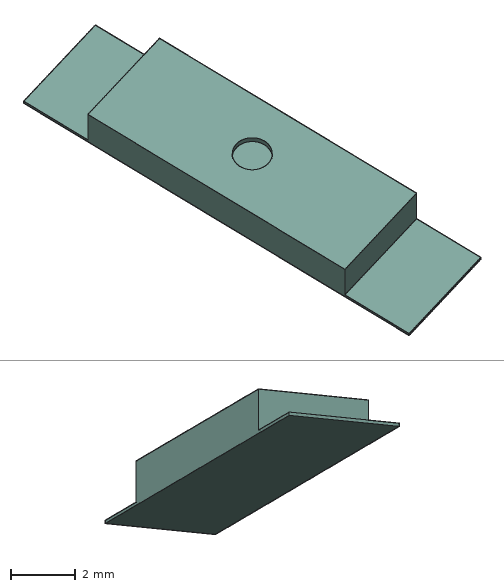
import cadquery as cq

length = 15.0
width = 3.7
height = 1.42

body_length = 10.0
tab_thickness = 0.1

recess_diameter = 1.25
recess_depth = 0.2


def make_base_strip():
    """Thin strip running the full length; its ends form the tabs."""
    return cq.Workplane("XY").box(length, width, tab_thickness, centered=(True, True, False))


def make_body():
    """Rectangular block centred on the strip."""
    return cq.Workplane("XY").box(body_length, width, height, centered=(True, True, False))


def make_recess():
    """Cylinder that cuts the blind recess down from the top face."""
    floor = cq.Workplane("XY").workplane(offset=height - recess_depth)
    return floor.circle(recess_diameter / 2).extrude(recess_depth)


result = make_base_strip().union(make_body()).cut(make_recess())